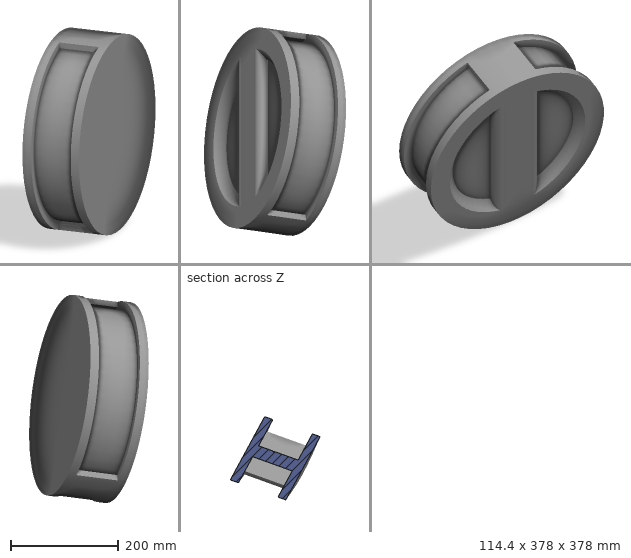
import cadquery as cq
import math

body_length = 114.0
body_radius = 378.0 / 2

groove_start = 17.4
groove_width = 80.0
groove_floor_radius = 343.5 / 2

land_width = 100.0
land_floor_overlap = 0.5

recess_mouth_radius = 148.0
recess_floor_radius = 131.5
cone_depth = 15.5
straight_depth = 4.0
recess_depth = cone_depth + straight_depth

bar_width = 98.0
shoulder_radius = 15.5
shoulder_bulge = 0.41

pin_diameter = 8.0
pin_spacing = 40.0
pin_pair_middle = 58.2
pin_length = 10.0


def make_cylinder(radius, start, length):
    """Solid cylinder about the X axis."""
    return cq.Workplane("YZ", origin=(start, 0, 0)).circle(radius).extrude(length)


def make_grooved_body():
    front_flange = make_cylinder(body_radius, 0, groove_start)
    core = make_cylinder(groove_floor_radius, 0, body_length)
    groove_end = groove_start + groove_width
    back_flange = make_cylinder(body_radius, groove_end, body_length - groove_end)
    return front_flange.union(core).union(back_flange)


def make_land(side):
    """Land above (side = 1) or below (side = -1) the core, its outer face following the body."""
    inner_height = groove_floor_radius - land_floor_overlap
    block = cq.Workplane("XY").box(groove_width, land_width, body_radius - inner_height)
    middle_x = groove_start + groove_width / 2
    middle_height = (body_radius + inner_height) / 2
    placed = block.translate((middle_x, 0, side * middle_height))
    return placed.intersect(make_cylinder(body_radius, 0, body_length))


def make_recess():
    """Space of the recess, its cone carried on in front of the front face by the bar's bulge."""
    cone_slope = (recess_mouth_radius - recess_floor_radius) / cone_depth
    front_radius = recess_mouth_radius + cone_slope * shoulder_bulge
    return (
        cq.Workplane("XY")
        .moveTo(-shoulder_bulge, 0)
        .lineTo(-shoulder_bulge, front_radius)
        .lineTo(cone_depth, recess_floor_radius)
        .lineTo(recess_depth, recess_floor_radius)
        .lineTo(recess_depth, 0)
        .close()
        .revolve(360, (0, 0, 0), (1, 0, 0))
    )


def make_bar():
    """Bar along Z with a flat front, bulging round shoulders and straight lower sides.

    Each shoulder is an arc that starts at the edge of the flat front, swells slightly
    past the front face and ends tangent to the straight side.
    """
    arc_center_x = shoulder_radius - shoulder_bulge
    flat_to_crest = math.sqrt(shoulder_radius**2 - arc_center_x**2)
    full_half = bar_width / 2
    crest_y = full_half - shoulder_radius
    flat_half = crest_y - flat_to_crest
    return (
        cq.Workplane("XY")
        .moveTo(0, -flat_half)
        .lineTo(0, flat_half)
        .threePointArc((-shoulder_bulge, crest_y), (arc_center_x, full_half))
        .lineTo(recess_depth, full_half)
        .lineTo(recess_depth, -full_half)
        .lineTo(arc_center_x, -full_half)
        .threePointArc((-shoulder_bulge, -crest_y), (0, -flat_half))
        .close()
        .extrude(recess_mouth_radius, both=True)
    )


def make_pins():
    half_spacing = pin_spacing / 2
    return (
        cq.Workplane("XY", origin=(pin_pair_middle, 0, body_radius - pin_length))
        .pushPoints([(-half_spacing, 0), (half_spacing, 0)])
        .circle(pin_diameter / 2)
        .extrude(pin_length)
    )


recess = make_recess()
result = make_grooved_body().cut(recess).union(make_bar().intersect(recess))
for side in (1, -1):
    result = result.union(make_land(side))
result = result.union(make_pins())